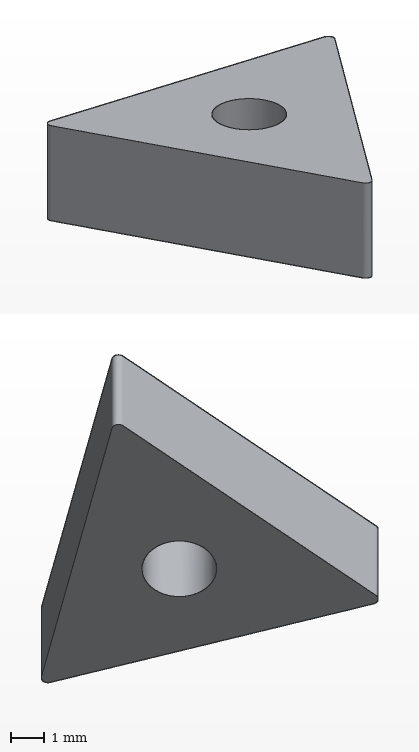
import cadquery as cq
import math

width = 10.71
thickness = 3.17
corner_radius = 0.2
hole_diameter = 2.26

arc_centre_spacing = width - 2 * corner_radius
sharp_side = arc_centre_spacing + 2 * math.sqrt(3) * corner_radius
circumradius = sharp_side / math.sqrt(3)


def triangle_corner(angle_degrees):
    """Sharp corner of the triangle, which is centred on the origin."""
    angle = math.radians(angle_degrees)
    return (circumradius * math.cos(angle), circumradius * math.sin(angle))


corners = [triangle_corner(angle) for angle in (90, 210, 330)]
plate = cq.Workplane("XY").polyline(corners).close().extrude(thickness)
plate = plate.edges("|Z").fillet(corner_radius)

result = plate.faces(">Z").workplane(origin=(0, 0, thickness)).hole(hole_diameter)